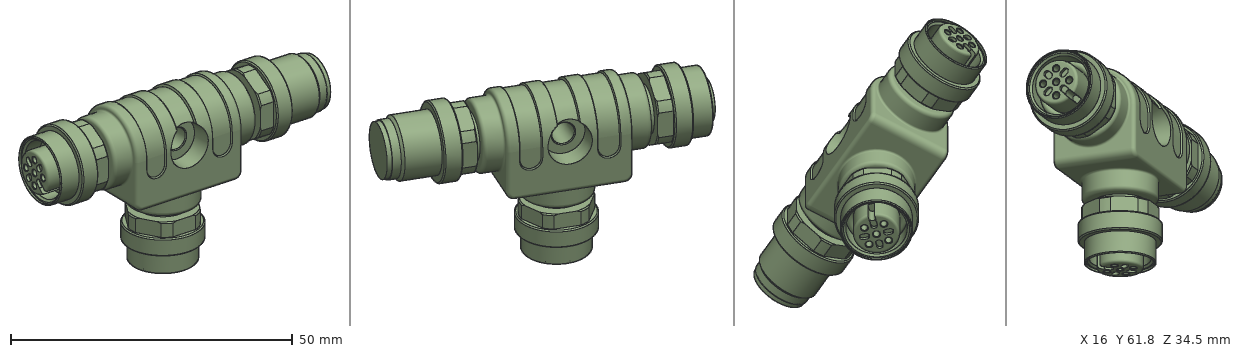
import cadquery as cq
import math


housing_width = 16.0
overall_length = 61.8
overall_height = 34.5
female_reach = 16.75
housing_half_length = 11.75
housing_radius = housing_width / 2
housing_depth = overall_height - housing_radius - female_reach
male_reach = overall_length - 2 * housing_half_length - female_reach
base_corner_radius = 1.5
housing_edge_radius = 0.75

recess_floor_width = 3.95
recess_wall_run = 0.2
recess_offset = 7.3
recess_end_centre = -2.0
side_recess_depth = 0.3
middle_recess_depth = 0.45

hole_diameter = 4.2
hole_chamfer = 0.2
counterbore_diameter = 8.3
counterbore_floor_diameter = 8.05
counterbore_depth = 3.95

boss_radius = 13.65 / 2
boss_end = 4.0
boss_edge_radius = 0.75
boss_root_radius = 0.4
neck_radius = 9.3 / 2
hex_start = 5.05
hex_flats = 12.9
hex_corner_diameter = 13.85
hex_chamfer = 0.25
collar_start = 8.05
collar_end = 11.55
collar_radius = 15.0 / 2
collar_chamfer = 0.25
root_depth = 2.5
neck_overlap = 0.6

thread_radius = 12.0 / 2
thread_end = 19.1
thread_chamfer = 0.6
relief_radius = 10.95 / 2
relief_end = 20.65
tip_radius = 10.5 / 2

shell_radius = 12.8 / 2
shell_end = 15.6
shell_chamfer = 0.2
mouth_radius = 12.3 / 2
bore_radius = 10.95 / 2
mouth_depth = 0.45
cone_radius = 5.9
cone_length = 0.4
bore_floor = 11.25
insert_radius = 8.3 / 2
insert_edge_radius = 0.5
ring_tube_radius = (bore_radius - insert_radius) / 2
ring_centre_radius = (bore_radius + insert_radius) / 2

contact_circle_radius = 2.55
contact_diameter = 1.2
contact_chamfer = 0.1
contact_depth = 4.95
slot_width = 1.2
slot_inner = 1.3
slot_outer = 3.1
slot_depth = 0.6
key_width = 1.2
key_inner = 2.55
key_depth = 3.7
key_angle = -45


def make_housing():
    """Block with a half-round top and rounded edges."""
    block = (
        cq.Workplane("XZ")
        .moveTo(-housing_radius, -housing_depth)
        .lineTo(-housing_radius, 0)
        .threePointArc((0, housing_radius), (housing_radius, 0))
        .lineTo(housing_radius, -housing_depth)
        .close()
        .extrude(housing_half_length, both=True)
    )
    block = block.faces("<Z").edges("|X").fillet(base_corner_radius)
    return block.faces("<Y or >Y").edges("%CIRCLE").fillet(housing_edge_radius)


def recess_band(offset, depth):
    """Half ring that sinks a recess into the round top."""
    floor = recess_floor_width / 2
    rim = floor + recess_wall_run
    return (
        cq.Workplane("XY")
        .polyline([
            (housing_radius - depth, offset - floor),
            (housing_radius, offset - rim),
            (housing_radius + depth, offset - rim),
            (housing_radius + depth, offset + rim),
            (housing_radius, offset + rim),
            (housing_radius - depth, offset + floor),
        ])
        .close()
        .revolve(180, (0, 0, 0), (0, -1, 0))
    )


def recess_end(offset, depth, side):
    """Round-ended pocket that continues a recess down a side wall (side is -1 or 1)."""
    rim_width = recess_floor_width + 2 * recess_wall_run
    slope = math.degrees(math.atan(recess_wall_run / depth))
    length = rim_width - 2 * recess_end_centre
    pocket = (
        cq.Workplane("YZ")
        .workplane(offset=housing_radius)
        .center(offset, 0)
        .slot2D(length, rim_width, 90)
        .extrude(-depth, taper=slope)
    )
    return pocket if side > 0 else pocket.mirror("YZ")


def mounting_hole():
    """Through hole along X, counterbored from both sides."""
    floor = housing_radius - counterbore_depth
    hole_radius = hole_diameter / 2
    rim_radius = hole_radius + hole_chamfer
    floor_radius = counterbore_floor_diameter / 2
    opening_radius = counterbore_diameter / 2
    half_hole = (
        cq.Workplane("XY")
        .polyline([
            (0, 0),
            (0, hole_radius),
            (floor - hole_chamfer, hole_radius),
            (floor, rim_radius),
            (floor, floor_radius),
            (housing_radius, opening_radius),
            (housing_radius, 0),
        ])
        .close()
        .revolve(360, (0, 0, 0), (1, 0, 0))
    )
    return half_hole.union(half_hole.mirror("YZ"))


def cylinder(radius, start, end):
    """Cylinder on the Z axis between two heights."""
    return cq.Workplane("XY").workplane(offset=start).circle(radius).extrude(end - start)


def connector_base():
    """Boss, neck, hexagon and collar along +Z, measured from the housing face."""
    boss = (
        cq.Workplane("XZ")
        .moveTo(0, -root_depth)
        .lineTo(boss_radius + boss_root_radius, -root_depth)
        .lineTo(boss_radius + boss_root_radius, 0)
        .radiusArc((boss_radius, boss_root_radius), boss_root_radius)
        .lineTo(boss_radius, boss_end)
        .lineTo(0, boss_end)
        .close()
        .revolve(360, (0, 0, 0), (0, 1, 0))
        .faces(">Z").edges().fillet(boss_edge_radius)
    )
    neck = cylinder(neck_radius, boss_end - neck_overlap, collar_end)
    hexagon = (
        cq.Workplane("XY")
        .workplane(offset=hex_start)
        .polygon(6, hex_flats, circumscribed=True)
        .extrude(collar_start - hex_start)
    )
    hex_turning = (
        cylinder(hex_corner_diameter / 2, hex_start, collar_start)
        .faces("<Z").edges().chamfer(hex_chamfer)
    )
    collar = cylinder(collar_radius, collar_start, collar_end).edges().chamfer(collar_chamfer)
    return boss.union(neck).union(hexagon.intersect(hex_turning)).union(collar)


def male_plug():
    """Connector base with a chamfered thread sleeve and two steps at the tip."""
    thread = (
        cylinder(thread_radius, collar_start, thread_end)
        .faces(">Z").edges().chamfer(thread_chamfer)
    )
    relief = cylinder(relief_radius, collar_start, relief_end)
    tip = cylinder(tip_radius, collar_start, male_reach)
    return connector_base().union(thread).union(relief).union(tip)


def slot(inner, outer, width, depth):
    """Round-ended pocket along local X, sunk into the insert face."""
    length = outer - inner
    return (
        cq.Workplane("XY")
        .workplane(offset=female_reach - depth)
        .center((inner + outer) / 2, 0)
        .slot2D(length, width)
        .extrude(depth)
    )


def contact_hole():
    """Blind hole with a chamfered mouth, on the connector axis."""
    radius = contact_diameter / 2
    mouth = radius + contact_chamfer
    return (
        cq.Workplane("XZ")
        .polyline([
            (0, female_reach),
            (mouth, female_reach),
            (radius, female_reach - contact_chamfer),
            (radius, female_reach - contact_depth),
            (0, female_reach - contact_depth),
        ])
        .close()
        .revolve(360, (0, 0, 0), (0, 1, 0))
    )


def socket_bore():
    """Mouth recess, lead-in cone and straight bore, down to the seal ring."""
    ledge = shell_end - mouth_depth
    return (
        cq.Workplane("XZ")
        .polyline([
            (0, bore_floor),
            (bore_radius, bore_floor),
            (bore_radius, ledge - cone_length),
            (cone_radius, ledge),
            (mouth_radius, ledge),
            (mouth_radius, shell_end),
            (0, shell_end),
        ])
        .close()
        .revolve(360, (0, 0, 0), (0, 1, 0))
    )


def female_socket():
    """Connector base with a hollow shell around the contact insert and its seal ring."""
    shell = (
        cylinder(shell_radius, collar_start, shell_end)
        .faces(">Z").edges().chamfer(shell_chamfer)
    )
    insert = (
        cylinder(insert_radius, collar_start, female_reach)
        .faces(">Z").edges().fillet(insert_edge_radius)
    )
    seal_ring = (
        cq.Workplane("XZ")
        .center(ring_centre_radius, bore_floor)
        .circle(ring_tube_radius)
        .revolve(360, (-ring_centre_radius, 0, 0), (-ring_centre_radius, 1, 0))
    )
    socket = connector_base().union(shell).cut(socket_bore()).union(insert).union(seal_ring)

    contacts_around = 4
    pitch = 360 / contacts_around
    socket = socket.cut(contact_hole())
    for step in range(contacts_around):
        contact = contact_hole().translate((contact_circle_radius, 0, 0))
        pocket = slot(slot_inner, slot_outer, slot_width, slot_depth)
        socket = socket.cut(contact.rotate((0, 0, 0), (0, 0, 1), pitch * step))
        socket = socket.cut(pocket.rotate((0, 0, 0), (0, 0, 1), pitch * (step + 0.5)))

    key = slot(key_inner, insert_radius + key_width, key_width, key_depth)
    return socket.cut(key.rotate((0, 0, 0), (0, 0, 1), key_angle))


housing = make_housing()
housing = housing.cut(recess_band(0, middle_recess_depth))
for end in (-1, 1):
    housing = housing.cut(recess_band(end * recess_offset, side_recess_depth))
    for side in (-1, 1):
        housing = housing.cut(recess_end(end * recess_offset, side_recess_depth, side))

female = female_socket()
front_socket = female.rotate((0, 0, 0), (1, 0, 0), 90).translate((0, -housing_half_length, 0))
lower_socket = (
    female.rotate((0, 0, 0), (0, 0, 1), 180)
    .rotate((0, 0, 0), (1, 0, 0), 180)
    .translate((0, 0, -housing_depth))
)
plug = male_plug().rotate((0, 0, 0), (1, 0, 0), -90).translate((0, housing_half_length, 0))

result = housing.union(front_socket).union(lower_socket).union(plug).cut(mounting_hole())